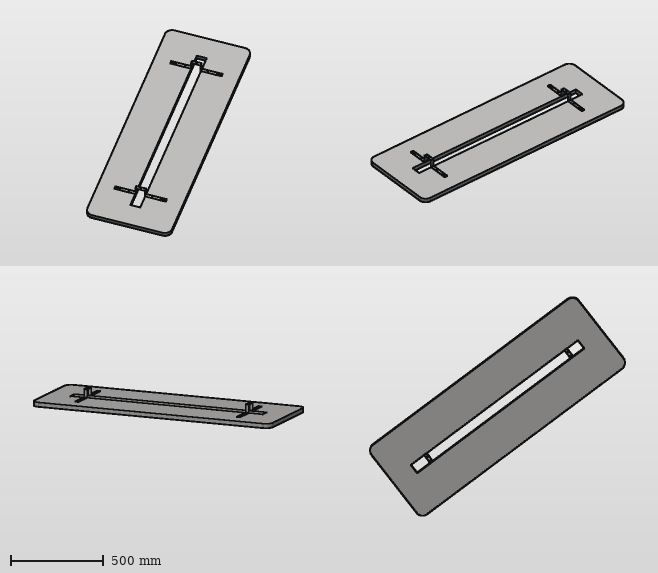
import cadquery as cq

plate_width = 480.0
plate_length = 1400.0
plate_thickness = 25.0
corner_radius = 40.0

slot_width = 56.0
slot_length = 1130.0

overall_height = 71.0
bracket_spacing = 949.0
bracket_span = 293.0
strip_width = 18.0
strip_thickness = 2.0
hat_width = slot_width

screw_hole_diameter = 4.5
foot_hole_offset = 65.0
adjusting_slot_offset = 127.0
adjusting_slot_length = 27.0
adjusting_slot_width = screw_hole_diameter


def make_plate():
    """Rounded rectangular plate with the long slot cut through it."""
    return (
        cq.Workplane("XY")
        .rect(plate_width, plate_length)
        .extrude(plate_thickness)
        .edges("|Z")
        .fillet(corner_radius)
        .cut(cq.Workplane("XY").rect(slot_width, slot_length).extrude(plate_thickness))
    )


def make_bracket(y_centre):
    """Strip with two feet on the plate and a raised hat over the slot."""
    foot_end = bracket_span / 2
    foot_top = plate_thickness + strip_thickness
    outer_leg = hat_width / 2
    inner_leg = outer_leg - strip_thickness
    hat_underside = overall_height - strip_thickness
    profile = [
        (-foot_end, plate_thickness),
        (-foot_end, foot_top),
        (-outer_leg, foot_top),
        (-outer_leg, overall_height),
        (outer_leg, overall_height),
        (outer_leg, foot_top),
        (foot_end, foot_top),
        (foot_end, plate_thickness),
        (inner_leg, plate_thickness),
        (inner_leg, hat_underside),
        (-inner_leg, hat_underside),
        (-inner_leg, plate_thickness),
    ]
    strip = (
        cq.Workplane("XZ", origin=(0, y_centre, 0))
        .polyline(profile)
        .close()
        .extrude(strip_width / 2, both=True)
    )
    holes = (
        cq.Workplane("XY", origin=(0, y_centre, plate_thickness))
        .pushPoints([(-foot_hole_offset, 0), (0, 0), (foot_hole_offset, 0)])
        .circle(screw_hole_diameter / 2)
        .extrude(overall_height - plate_thickness)
    )
    slots = (
        cq.Workplane("XY", origin=(0, y_centre, plate_thickness))
        .pushPoints([(-adjusting_slot_offset, 0), (adjusting_slot_offset, 0)])
        .slot2D(adjusting_slot_length, adjusting_slot_width)
        .extrude(strip_thickness)
    )
    return strip.cut(holes).cut(slots)


result = make_plate()
for end in (-1, 1):
    result = result.union(make_bracket(end * bracket_spacing / 2))